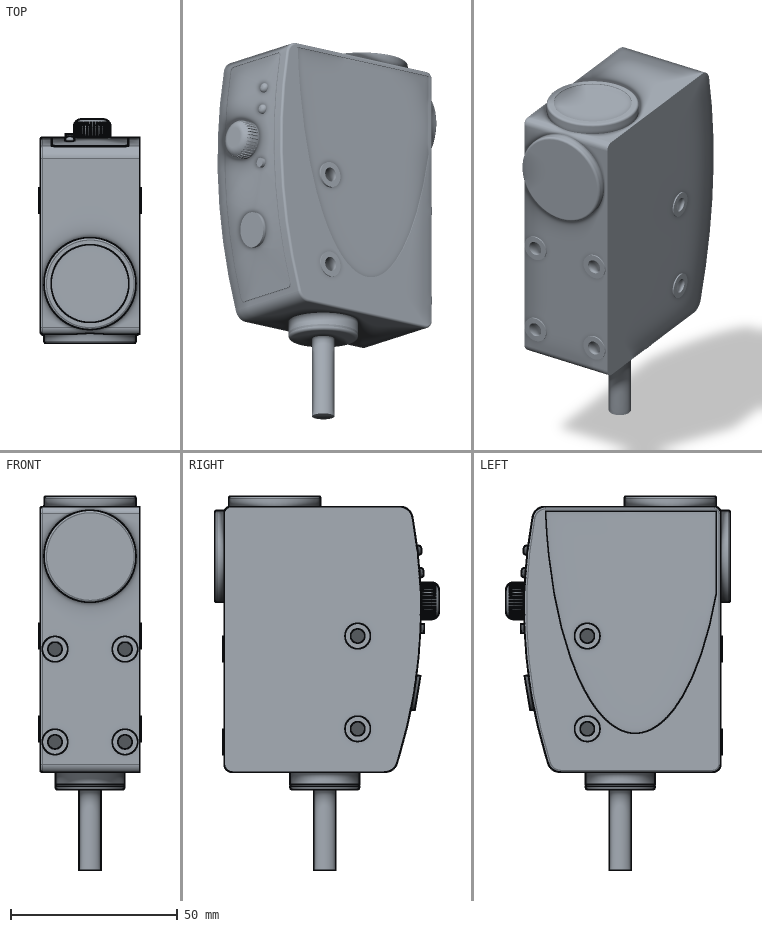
import cadquery as cq
import math

housing_width = 30.0
housing_half_width = housing_width / 2
housing_bottom = 29.5
housing_height = 80.0
housing_top = housing_bottom + housing_height
front_y = -30.3
back_radius = 153.3
back_axis_y = -124.4
back_axis_z = 78.6
top_front_radius = 2.0
bottom_front_radius = 2.5
back_corner_radius = 3.9
cover_rounding = 0.7

inlay_depth = 0.3
inlay_margin = 1.4
inlay_ellipse_y = -4.5
inlay_ellipse_z = 116.2
inlay_half_width = 27.2
inlay_half_height = 74.9

lens_diameter = 27.7
front_lens_height = 2.8
top_lens_height = 3.2
lens_rounding = 0.7
front_lens_z = 94.5
top_lens_y = -15.1
window_diameter = 23.4
window_depth = 0.2

boss_diameter = 7.7
boss_height = 0.39
boss_hole_diameter = 4.3
boss_hole_depth = 6.8
boss_pitch = 27.9
front_boss_x = 10.53
front_boss_low_z = 38.6
side_boss_y = 9.9
side_boss_low_z = 42.6

panel_width = 23.4
panel_bottom = 33.8
panel_top = 106.7
panel_corner_radius = 1.1
panel_gap = 0.3
panel_gap_depth = 0.2

knob_x = 0.7
knob_z = 81.1
knob_diameter = 11.3
knob_tip_y = 34.5
knob_bottom_y = 29.2
knob_rim_width = 0.5
knob_rounding = 2.5
knob_neck_diameter = 10.4
groove_count = 34
groove_width = 0.3
groove_depth = 0.5

indicator_x = -6.1
indicator_diameter = 2.9
indicator_height = 1.2
indicator_rounding = 1.0
dome_indicator_heights = (96.3, 89.6)
flat_indicator_z = 72.8
flat_indicator_diameter = 2.8
flat_indicator_height = 1.1
button_z = 53.5
button_diameter = 10.6
button_height = 1.1

gland_diameter = 21.0
gland_bottom = 24.2
gland_rounding = 0.9
gland_groove_bottom = 25.2
gland_groove_width = 0.7
gland_groove_depth = 0.2
cable_diameter = 6.8

root = 1.1


def back_y(z):
    """Y of the curved back at height z."""
    return back_axis_y + math.sqrt(back_radius**2 - (z - back_axis_z) ** 2)


def disc(origin, direction, diameter, height):
    """Cylinder that starts at origin and runs along direction."""
    plane = cq.Plane(origin=origin, normal=direction)
    return cq.Workplane(plane).circle(diameter / 2).extrude(height)


def make_shell():
    middle_z = housing_bottom + housing_height / 2
    shell = (
        cq.Workplane("YZ")
        .workplane(offset=-housing_half_width)
        .moveTo(front_y, housing_bottom)
        .lineTo(back_y(housing_bottom), housing_bottom)
        .threePointArc((back_y(middle_z), middle_z), (back_y(housing_top), housing_top))
        .lineTo(front_y, housing_top)
        .close()
        .extrude(housing_width)
    )
    shell = shell.edges("|X").edges("<Y").edges(">Z").fillet(top_front_radius)
    shell = shell.edges("|X").edges("<Y").edges("<Z").fillet(bottom_front_radius)
    back_corners = cq.selectors.BoxSelector(
        (-housing_width, 0, 0), (housing_width, back_y(back_axis_z), 2 * housing_top)
    )
    shell = shell.edges("|X").edges(back_corners).fillet(back_corner_radius)
    return shell.faces("<X").edges().fillet(cover_rounding)


def make_inlay():
    """Sheet that is sunk into the cover: an ellipse cut off at the top and front margins."""
    sheet_plane = cq.Workplane("YZ").workplane(offset=-housing_half_width)
    ellipse = (
        sheet_plane.center(inlay_ellipse_y, inlay_ellipse_z)
        .ellipse(inlay_half_width, inlay_half_height)
        .extrude(inlay_depth)
    )
    frame = (
        sheet_plane.moveTo(front_y + inlay_margin, housing_bottom)
        .rect(housing_height, housing_height - inlay_margin, centered=False)
        .extrude(inlay_depth)
    )
    return ellipse.intersect(frame)


def make_front_lens():
    lens = disc((0, front_y + root, front_lens_z), (0, -1, 0), lens_diameter, front_lens_height + root)
    return lens.faces("<Y").edges().fillet(lens_rounding)


def make_top_lens():
    lens = disc((0, top_lens_y, housing_top - root), (0, 0, 1), lens_diameter, top_lens_height + root)
    lens = lens.faces(">Z").edges().fillet(lens_rounding)
    lens_top = housing_top + top_lens_height
    return lens.cut(disc((0, top_lens_y, lens_top), (0, 0, -1), window_diameter, window_depth))


def boss_seats():
    """Face point and outward direction of every mounting boss."""
    seats = []
    for side in (-1, 1):
        for step in (0, boss_pitch):
            seats.append(((side * front_boss_x, front_y, front_boss_low_z + step), (0, -1, 0)))
            seats.append(((side * housing_half_width, side_boss_y, side_boss_low_z + step), (side, 0, 0)))
    return seats


def add_bosses(body):
    for seat, outward in boss_seats():
        start = cq.Vector(*seat) - cq.Vector(*outward) * root
        end = cq.Vector(*seat) + cq.Vector(*outward) * boss_height
        inward = cq.Vector(*outward) * -1
        body = body.union(disc(start, outward, boss_diameter, root + boss_height))
        body = body.cut(disc(end, inward, boss_hole_diameter, boss_hole_depth))
    return body


def panel_block(inset):
    """Rounded block of the panel outline moved inward by inset, running through the back."""
    return (
        cq.Workplane("XZ")
        .center(0, (panel_bottom + panel_top) / 2)
        .rect(panel_width - 2 * inset, panel_top - panel_bottom - 2 * inset)
        .extrude(-knob_tip_y)
        .edges("|Y")
        .fillet(panel_corner_radius)
    )


def make_panel_groove():
    """Ring around the panel that follows the curved back."""
    ring = panel_block(0).cut(panel_block(panel_gap))
    layer = (
        cq.Workplane("YZ")
        .center(back_axis_y, back_axis_z)
        .circle(back_radius + root)
        .circle(back_radius - panel_gap_depth)
        .extrude(panel_width, both=True)
    )
    return ring.intersect(layer)


def make_knob():
    knob = disc((knob_x, knob_bottom_y, knob_z), (0, 1, 0), knob_diameter, knob_tip_y - knob_bottom_y)
    knob = knob.faces(">Y").edges().fillet(knob_rounding)
    grooves = (
        cq.Workplane("XZ", origin=(knob_x, knob_bottom_y + knob_rim_width, knob_z))
        .polarArray(knob_diameter / 2, 0, 360, groove_count)
        .rect(2 * groove_depth, groove_width)
        .extrude(-knob_tip_y)
    )
    knob = knob.cut(grooves)
    neck_start_y = back_y(knob_z) - root
    neck = disc((knob_x, neck_start_y, knob_z), (0, 1, 0), knob_neck_diameter, knob_bottom_y - neck_start_y)
    return knob.union(neck)


def make_back_disc(x, z, diameter, height):
    """Round part that stands square on the curved back."""
    rise = (z - back_axis_z) / back_radius
    outward = (0, math.sqrt(1 - rise**2), rise)
    base = cq.Vector(x, back_y(z), z) - cq.Vector(*outward) * root
    return disc(base, outward, diameter, height + root)


def make_indicators():
    indicators = []
    for z in dome_indicator_heights:
        dome = make_back_disc(indicator_x, z, indicator_diameter, indicator_height)
        indicators.append(dome.faces(">Y").edges().fillet(indicator_rounding))
    indicators.append(
        make_back_disc(indicator_x, flat_indicator_z, flat_indicator_diameter, flat_indicator_height)
    )
    return indicators


def make_gland():
    gland = disc((0, 0, gland_bottom), (0, 0, 1), gland_diameter, housing_bottom + root - gland_bottom)
    gland = gland.faces("<Z").edges().fillet(gland_rounding)
    rim = gland_diameter / 2
    groove = (
        cq.Workplane("XZ")
        .moveTo(rim, gland_groove_bottom + gland_groove_width)
        .lineTo(rim - gland_groove_depth, gland_groove_bottom)
        .lineTo(rim, gland_groove_bottom)
        .close()
        .revolve(360, (0, 0), (0, 1))
    )
    return gland.cut(groove)


def make_housing():
    housing = make_shell().cut(make_inlay()).cut(make_panel_groove())
    housing = housing.union(make_front_lens()).union(make_top_lens())
    housing = add_bosses(housing)
    housing = housing.union(make_knob())
    for indicator in make_indicators():
        housing = housing.union(indicator)
    housing = housing.union(make_back_disc(0, button_z, button_diameter, button_height))
    return housing.union(make_gland())


def make_cable():
    return disc((0, 0, 0), (0, 0, 1), cable_diameter, gland_bottom)


housing = make_housing()
cable = make_cable()
result = cq.Compound.makeCompound([housing.val(), cable.val()])